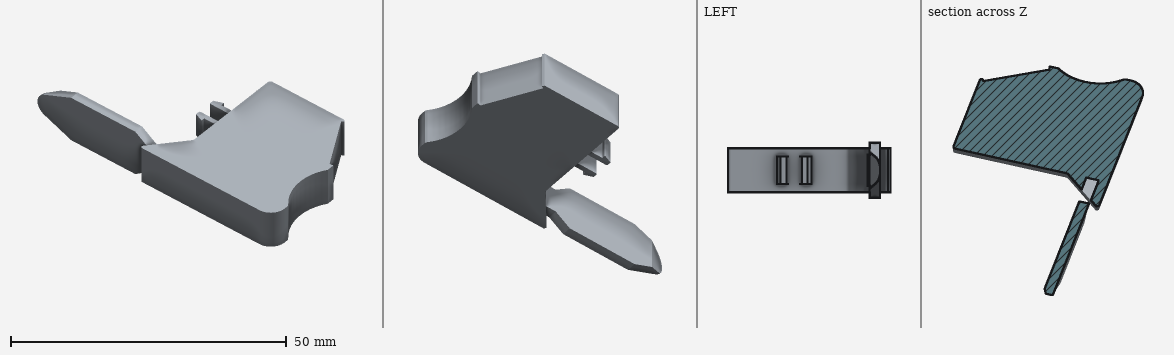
import cadquery as cq
import math

HOUSING_THICKNESS = 8.0
HOUSING_DEPTH = 29.5
LENGTH = 56.9
FACE_X = 31.85
TOE_X = 25.65
TOE_RISE = 0.45
TOE_BEVEL = 0.35
SLOPE_TOP_Y = 7.75
EDGE_ROUND = 0.55
SLOPE_ROUND = 0.8
NOSE_RADIUS = 3.25
NOSE_TOP_Y = 4.15

TOP_EDGE_END_X = 49.4
UPPER_LIP = (49.7, 29.0)
UPPER_NOTCH = (49.15, 28.8)
LOWER_NOTCH = (55.2, 18.15)
LOWER_LIP_X = 56.0
LOWER_LIP_TOP_Y = 18.25
RECESS_TOP_Y = 16.7
RECESS_MIDDLE = (54.2, 11.5)
RECESS_BOTTOM = (56.7, 4.55)

BLADE_WIDTH = 10.0
BLADE_FRONT_Y = 1.9
BLADE_THICKNESS = 1.95
TIP_RADIUS = 2.55
SHOULDER_X = 7.9
NECK_TAPER_X = 23.0
NECK_START_X = 26.25
NECK_WIDTH = 5.45
TIP_BEVEL_LENGTH = 3.85

SLOT_WIDTH = 5.7
SLOT_TOP_Y = 4.15
SLOT_END_X = 31.85
NECK_EMBED = 0.55

CLIP_WIDTH = 5.0
CLIP_CENTER_Y = 17.45
CLIP_LENGTH = 5.45
CLIP_INNER_OFFSET = 1.4
ARM_THICKNESS = 1.0
BARB_LENGTH = 1.95
BARB_CREST = 0.15
BARB_HEIGHT = 0.7
ROOT_FILLET = 0.35
END_ROUND = 0.3


def make_housing():
    outline = (
        cq.Workplane("XY")
        .workplane(offset=-HOUSING_THICKNESS / 2)
        .moveTo(TOE_X + TOE_BEVEL, 0)
        .lineTo(LENGTH - NOSE_RADIUS, 0)
        .radiusArc((LENGTH, NOSE_RADIUS), -NOSE_RADIUS)
        .lineTo(LENGTH, NOSE_TOP_Y)
        .lineTo(*RECESS_BOTTOM)
        .threePointArc(RECESS_MIDDLE, (LOWER_LIP_X, RECESS_TOP_Y))
        .lineTo(LOWER_LIP_X, LOWER_LIP_TOP_Y)
        .lineTo(*LOWER_NOTCH)
        .lineTo(*UPPER_NOTCH)
        .lineTo(*UPPER_LIP)
        .lineTo(TOP_EDGE_END_X, HOUSING_DEPTH)
        .lineTo(FACE_X, HOUSING_DEPTH)
        .lineTo(FACE_X, SLOPE_TOP_Y)
        .lineTo(TOE_X, TOE_RISE)
        .close()
    )
    body = outline.extrude(HOUSING_THICKNESS)
    corner = cq.selectors.NearestToPointSelector((FACE_X, HOUSING_DEPTH, 0))
    bend = cq.selectors.NearestToPointSelector((FACE_X, SLOPE_TOP_Y, 0))
    body = body.edges("|Z").edges(corner).fillet(EDGE_ROUND)
    return body.edges("|Z").edges(bend).fillet(SLOPE_ROUND)


def make_slot():
    size_x = SLOT_END_X - TOE_X
    size_y = SLOT_TOP_Y - BLADE_FRONT_Y
    return (
        cq.Workplane("XY")
        .box(size_x, size_y, SLOT_WIDTH, centered=(False, False, True))
        .translate((TOE_X, BLADE_FRONT_Y, 0))
    )


def make_blade():
    half_width = BLADE_WIDTH / 2
    half_neck = NECK_WIDTH / 2
    neck_end_x = SLOT_END_X + NECK_EMBED

    run = SHOULDER_X - TIP_RADIUS
    reach = math.hypot(run, half_width)
    angle = math.atan2(half_width, run) + math.acos(TIP_RADIUS / reach)
    tangent_x = TIP_RADIUS + TIP_RADIUS * math.cos(angle)
    tangent_z = TIP_RADIUS * math.sin(angle)

    back_y = BLADE_FRONT_Y + BLADE_THICKNESS
    plate = (
        cq.Workplane("XZ", origin=(0, back_y, 0))
        .moveTo(tangent_x, -tangent_z)
        .threePointArc((0, 0), (tangent_x, tangent_z))
        .lineTo(SHOULDER_X, half_width)
        .lineTo(NECK_TAPER_X, half_width)
        .lineTo(NECK_START_X, half_neck)
        .lineTo(neck_end_x, half_neck)
        .lineTo(neck_end_x, -half_neck)
        .lineTo(NECK_START_X, -half_neck)
        .lineTo(NECK_TAPER_X, -half_width)
        .lineTo(SHOULDER_X, -half_width)
        .close()
        .extrude(BLADE_THICKNESS)
    )
    bevel = (
        cq.Workplane("XY")
        .polyline([(0, BLADE_FRONT_Y), (TIP_BEVEL_LENGTH, back_y), (0, back_y)])
        .close()
        .extrude(BLADE_WIDTH / 2, both=True)
    )
    return plate.cut(bevel)


def make_clip():
    """Upper clip, with its barb on the +Y side."""
    inner_y = CLIP_CENTER_Y + CLIP_INNER_OFFSET
    outer_y = inner_y + ARM_THICKNESS
    end_x = FACE_X - CLIP_LENGTH
    barb_x = end_x + BARB_LENGTH
    root_x = FACE_X - ROOT_FILLET
    return (
        cq.Workplane("XY")
        .moveTo(end_x, inner_y + END_ROUND)
        .radiusArc((end_x + END_ROUND, inner_y), -END_ROUND)
        .lineTo(root_x, inner_y)
        .radiusArc((FACE_X, inner_y - ROOT_FILLET), ROOT_FILLET)
        .lineTo(FACE_X, outer_y + ROOT_FILLET)
        .radiusArc((root_x, outer_y), ROOT_FILLET)
        .lineTo(barb_x, outer_y)
        .lineTo(barb_x, outer_y + BARB_HEIGHT)
        .lineTo(barb_x - BARB_CREST, outer_y + BARB_HEIGHT)
        .lineTo(end_x, outer_y)
        .close()
        .extrude(CLIP_WIDTH / 2, both=True)
    )


upper_clip = make_clip()
lower_clip = upper_clip.mirror("XZ", (0, CLIP_CENTER_Y, 0))

result = make_housing().cut(make_slot())
for feature in (make_blade(), upper_clip, lower_clip):
    result = result.union(feature)